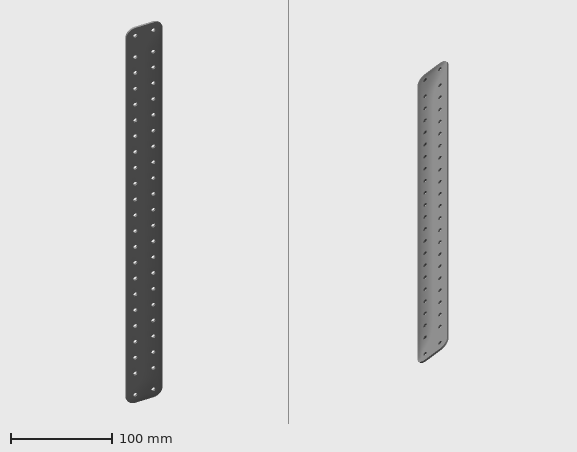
import cadquery as cq

length = 474.0
width = 40.0
thickness = 2.0
corner_radius = 10.0

hole_diameter = 4.5
column_spacing = width / 2
run_length = 400.0
run_rows = 21
row_pitch = run_length / (run_rows - 1)
end_row_inset = 10.0


def make_strip():
    """Rounded-corner plate centred on the origin."""
    plate = cq.Workplane("XY").box(thickness, width, length)
    return plate.edges("|X").fillet(corner_radius)


def hole_centres():
    """(Y, Z) centres of every hole."""
    end_row = length / 2 - end_row_inset
    rows = [-run_length / 2 + i * row_pitch for i in range(run_rows)]
    rows += [-end_row, end_row]
    columns = (-column_spacing / 2, column_spacing / 2)
    return [(y, z) for z in rows for y in columns]


def make_holes():
    """Cylinders through the full thickness, one per hole."""
    return (
        cq.Workplane("YZ")
        .pushPoints(hole_centres())
        .circle(hole_diameter / 2)
        .extrude(thickness, both=True)
    )


result = make_strip().cut(make_holes())